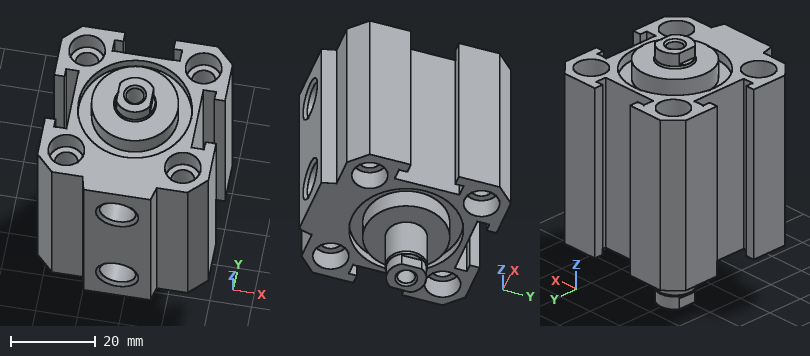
import cadquery as cq
import math


HOUSING_WIDTH = 41.0
HOUSING_HEIGHT = 45.55
CORNER_CHAMFER = 4.25
HALF_WIDTH = HOUSING_WIDTH / 2

SLOT_MOUTH_WIDTH = 12.0
SLOT_INNER_WIDTH = 16.2
SLOT_LIP = 2.55
SLOT_DEPTH = 5.55

OVERALL_DEPTH = 44.5
PAD_BASE_WIDTH = 17.8
PAD_FACE_WIDTH = 16.0
PAD_FACE_Y = HALF_WIDTH - OVERALL_DEPTH

PORT_DIAMETER = 8.6
PORT_MOUTH_DIAMETER = 10.2
PORT_DEPTH = 10.0
PORT_END_OFFSET = 9.2
PORT_CHAMFER = (PORT_MOUTH_DIAMETER - PORT_DIAMETER) / 2

MOUNT_SPACING = 27.95
MOUNT_DIAMETER = 5.5
COUNTERBORE_DIAMETER = 8.5
COUNTERBORE_DEPTH = 5.4

BOSS_DIAMETER = 20.55
BOSS_HEIGHT = 2.55
RECESS_DIAMETER = 27.0
RECESS_DEPTH = 2.55

ROD_DIAMETER = 10.0
ROD_LENGTH = 68.5
TIP_DIAMETER = 9.5
TIP_LENGTH = 3.4
TIP_TAPER_LENGTH = 0.55
ROD_TOP_Z = HOUSING_HEIGHT + BOSS_HEIGHT + TIP_TAPER_LENGTH + TIP_LENGTH
ROD_BOTTOM_Z = ROD_TOP_Z - ROD_LENGTH
ROD_MIDDLE_Z = (ROD_TOP_Z + ROD_BOTTOM_Z) / 2

FLATS_WIDTH = 8.1
FLATS_LENGTH = 2.95
RUN_OUT_ANGLE = 30
TAP_DIAMETER = 4.25
TAP_MOUTH_DIAMETER = 5.3
TAP_DEPTH = 10.0
TAP_CHAMFER = (TAP_MOUTH_DIAMETER - TAP_DIAMETER) / 2
DRILL_POINT_ANGLE = 118


def t_slot(side_angle):
    """T-slot cutter for the +X side, turned about Z to the wanted side."""
    mouth = cq.Workplane("XY").box(
        SLOT_LIP, SLOT_MOUTH_WIDTH, HOUSING_HEIGHT, centered=(False, True, False)
    ).translate((HALF_WIDTH - SLOT_LIP, 0, 0))
    channel = cq.Workplane("XY").box(
        SLOT_DEPTH - SLOT_LIP, SLOT_INNER_WIDTH, HOUSING_HEIGHT, centered=(False, True, False)
    ).translate((HALF_WIDTH - SLOT_DEPTH, 0, 0))
    return mouth.union(channel).rotate((0, 0, 0), (0, 0, 1), side_angle)


def port_pad():
    """Trapezoidal pad standing out from the -Y side over the full height."""
    outline = [
        (-PAD_BASE_WIDTH / 2, -HALF_WIDTH),
        (-PAD_FACE_WIDTH / 2, PAD_FACE_Y),
        (PAD_FACE_WIDTH / 2, PAD_FACE_Y),
        (PAD_BASE_WIDTH / 2, -HALF_WIDTH),
    ]
    return cq.Workplane("XY").polyline(outline).close().extrude(HOUSING_HEIGHT)


def port(z):
    """Cutter for a flat-bottomed air port with a chamfered mouth, running in +Y."""
    half_section = [
        (0, 0),
        (PORT_MOUTH_DIAMETER / 2, 0),
        (PORT_DIAMETER / 2, PORT_CHAMFER),
        (PORT_DIAMETER / 2, PORT_DEPTH),
        (0, PORT_DEPTH),
    ]
    cutter = cq.Workplane("XY").polyline(half_section).close().revolve(360, (0, 0, 0), (0, 1, 0))
    return cutter.translate((0, PAD_FACE_Y, z))


def mounting_holes():
    """Cutters for the four through holes with a counterbore at each end."""
    holes = (
        cq.Workplane("XY")
        .rect(MOUNT_SPACING, MOUNT_SPACING, forConstruction=True)
        .vertices()
        .circle(MOUNT_DIAMETER / 2)
        .extrude(HOUSING_HEIGHT)
    )
    for floor_z in (0, HOUSING_HEIGHT - COUNTERBORE_DEPTH):
        counterbores = (
            cq.Workplane("XY", origin=(0, 0, floor_z))
            .rect(MOUNT_SPACING, MOUNT_SPACING, forConstruction=True)
            .vertices()
            .circle(COUNTERBORE_DIAMETER / 2)
            .extrude(COUNTERBORE_DEPTH)
        )
        holes = holes.union(counterbores)
    return holes


def end_recess(start_z):
    """Annular cutter around a rod guide boss."""
    return (
        cq.Workplane("XY", origin=(0, 0, start_z))
        .circle(RECESS_DIAMETER / 2)
        .circle(BOSS_DIAMETER / 2)
        .extrude(RECESS_DEPTH)
    )


def make_housing():
    body = (
        cq.Workplane("XY")
        .box(HOUSING_WIDTH, HOUSING_WIDTH, HOUSING_HEIGHT, centered=(True, True, False))
        .edges("|Z")
        .chamfer(CORNER_CHAMFER)
        .union(port_pad())
    )
    bosses = (
        cq.Workplane("XY", origin=(0, 0, -BOSS_HEIGHT))
        .circle(BOSS_DIAMETER / 2)
        .extrude(HOUSING_HEIGHT + 2 * BOSS_HEIGHT)
    )
    body = body.union(bosses)
    for side_angle in (0, 90, 180):
        body = body.cut(t_slot(side_angle))
    for port_z in (PORT_END_OFFSET, HOUSING_HEIGHT - PORT_END_OFFSET):
        body = body.cut(port(port_z))
    for recess_z in (0, HOUSING_HEIGHT - RECESS_DEPTH):
        body = body.cut(end_recess(recess_z))
    rod_bore = (
        cq.Workplane("XY", origin=(0, 0, -BOSS_HEIGHT))
        .circle(ROD_DIAMETER / 2)
        .extrude(HOUSING_HEIGHT + 2 * BOSS_HEIGHT)
    )
    return body.cut(mounting_holes()).cut(rod_bore)


def flat_cutter(side):
    """Cutter for one wrench flat at the rod's top end; side is -1 or 1 along X."""
    flat_x = FLATS_WIDTH / 2
    outer_x = ROD_DIAMETER / 2
    flat_end_z = ROD_TOP_Z - FLATS_LENGTH
    run_out_height = (outer_x - flat_x) * math.tan(math.radians(RUN_OUT_ANGLE))
    outline = [
        (side * flat_x, ROD_TOP_Z),
        (side * flat_x, flat_end_z),
        (side * outer_x, flat_end_z - run_out_height),
        (side * outer_x, ROD_TOP_Z),
    ]
    return cq.Workplane("XZ").polyline(outline).close().extrude(ROD_DIAMETER / 2, both=True)


def tapped_hole():
    """Cutter for the chamfered blind hole with a drill point in the rod's top end."""
    radius = TAP_DIAMETER / 2
    point_length = radius / math.tan(math.radians(DRILL_POINT_ANGLE / 2))
    half_section = [
        (0, ROD_TOP_Z),
        (TAP_MOUTH_DIAMETER / 2, ROD_TOP_Z),
        (radius, ROD_TOP_Z - TAP_CHAMFER),
        (radius, ROD_TOP_Z - TAP_DEPTH),
        (0, ROD_TOP_Z - TAP_DEPTH - point_length),
    ]
    return cq.Workplane("XZ").polyline(half_section).close().revolve(360, (0, 0, 0), (0, 1, 0))


def make_half_rod():
    """Upper half of the rod, from its middle to its top end."""
    tip_start_z = ROD_TOP_Z - TIP_LENGTH
    half_section = [
        (0, ROD_MIDDLE_Z),
        (ROD_DIAMETER / 2, ROD_MIDDLE_Z),
        (ROD_DIAMETER / 2, tip_start_z - TIP_TAPER_LENGTH),
        (TIP_DIAMETER / 2, tip_start_z),
        (TIP_DIAMETER / 2, ROD_TOP_Z),
        (0, ROD_TOP_Z),
    ]
    half = cq.Workplane("XZ").polyline(half_section).close().revolve(360, (0, 0, 0), (0, 1, 0))
    for side in (-1, 1):
        half = half.cut(flat_cutter(side))
    return half.cut(tapped_hole())


def make_piston_rod():
    """Rod with identical ends: the upper half and its mirror image."""
    upper_half = make_half_rod()
    lower_half = upper_half.mirror("XY", (0, 0, ROD_MIDDLE_Z))
    return upper_half.union(lower_half)


housing = make_housing()
piston_rod = make_piston_rod()
result = cq.Compound.makeCompound([housing.val(), piston_rod.val()])